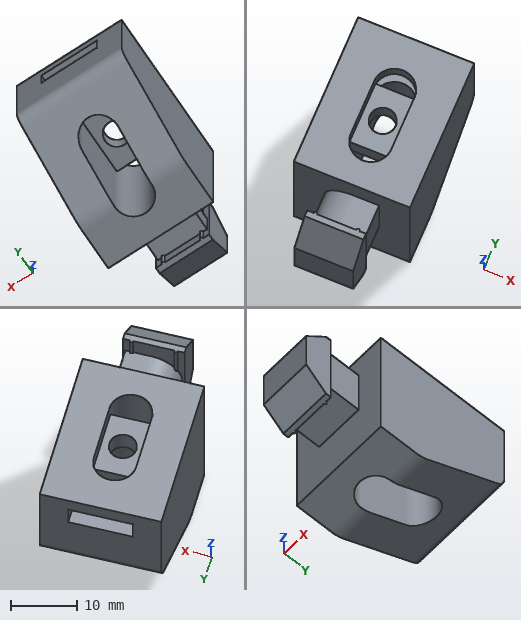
import cadquery as cq
import math

total_length = 35.9
block_width = 19.0
block_size = 25.0
block_front = total_length - block_size
block_rear = total_length

foot_length = 8.3
slope_angle = math.radians(30)
foot_corner_radius = 5.0
rear_corner_radius = 3.0

slot_length = 15.58
slot_width = 6.6
slot_forward_offset = 0.5
slot_y = block_front + block_size / 2 - slot_forward_offset

nut_size = 10.05
nut_height = 3.52
nut_hole_diameter = 4.2
roof_thickness = 2.5
nut_top = block_size - roof_thickness
nut_bottom = nut_top - nut_height
nut_front = slot_y - nut_size / 2

axis_z = 15.47
head_width = 9.62
head_height = 16.0
head_length = 5.0
head_bevel = 4.0
stem_width = 8.9
stem_height = 9.7
stem_corner_radius = stem_height / 2

rib_radius = 0.3
rib_offset = 3.5


def make_block():
    slope_rise = (block_size - foot_length) * math.tan(slope_angle)
    outline = [
        (block_front, 0),
        (block_front + foot_length, 0),
        (block_rear, slope_rise),
        (block_rear, block_size),
        (block_front, block_size),
    ]
    block = cq.Workplane("YZ").polyline(outline).close().extrude(block_width / 2, both=True)
    for corner, radius in zip(outline[1:3], (foot_corner_radius, rear_corner_radius)):
        edge = cq.selectors.NearestToPointSelector((0, *corner))
        block = block.edges("|X").edges(edge).fillet(radius)
    return block


def make_slot():
    return (
        cq.Workplane("XY")
        .center(0, slot_y)
        .slot2D(slot_length, slot_width, 90)
        .extrude(block_size)
    )


def make_pocket():
    pocket_length = block_rear - nut_front
    return cq.Workplane("XY", origin=(0, nut_front, nut_bottom)).box(
        nut_size, pocket_length, nut_height, centered=(True, False, False)
    )


def make_nut():
    return (
        cq.Workplane("XY", origin=(0, slot_y, nut_bottom))
        .rect(nut_size, nut_size)
        .circle(nut_hole_diameter / 2)
        .extrude(nut_height)
    )


def make_stem():
    return (
        cq.Workplane("XY", origin=(0, head_length, axis_z))
        .box(stem_width, block_front - head_length, stem_height, centered=(True, False, True))
        .edges("|Y")
        .edges("<X and >Z")
        .fillet(stem_corner_radius)
    )


def make_head():
    return (
        cq.Workplane("XY", origin=(0, 0, axis_z))
        .box(head_width, head_length, head_height, centered=(True, False, True))
        .faces("<Y")
        .edges("|X")
        .chamfer(head_bevel)
    )


def make_ribs():
    return (
        cq.Workplane("XY", origin=(0, head_length, axis_z))
        .pushPoints([(-rib_offset, 0), (rib_offset, 0)])
        .circle(rib_radius)
        .extrude(head_height / 2, both=True)
    )


body = make_block().cut(make_slot()).cut(make_pocket())
result = body.union(make_nut()).union(make_stem()).union(make_head()).union(make_ribs())